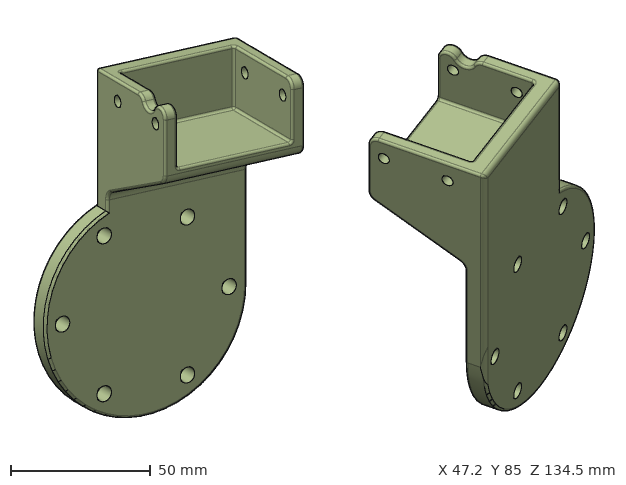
import cadquery as cq
import math

height = 134.5
reach = 47.2
disc_radius = 42.5
plate_thickness = 8.1

bracket_width = 58.8
arm_thickness = 5.4
floor_z = 110.3
slope_start_z = 88.8
slope_end_z = 105.6

corner_radius = 4.0
back_edge_radius = 2.0
small_radius = 1.0

disc_hole_diameter = 6.0
disc_hole_count = 6
disc_hole_circle_radius = 35.0
arm_hole_diameter = 4.5
arm_hole_z = 126.5
arm_hole_xs = (15.2, 40.9)

notch_radius = 4.0
notch_x = 36.3
notch_z = 134.0

cut_margin = 6.7

y_max = disc_radius
y_min = y_max - bracket_width
y_mid = (y_min + y_max) / 2


def along_y(sketch, y_start, length):
    """Extrude an XZ outline from y_start toward +Y."""
    return sketch(cq.Workplane("XZ", origin=(0, y_start, 0))).extrude(-length)


def make_disc():
    """Round mounting plate with softened rims."""
    disc = (
        cq.Workplane("YZ")
        .center(0, disc_radius)
        .circle(disc_radius)
        .extrude(plate_thickness)
    )
    return disc.edges("%CIRCLE").fillet(small_radius)


def bracket_outline(plane):
    """Side outline from the disc centre up: thin plate, then a sloped underside and the full reach."""
    return plane.polyline([
        (0, disc_radius),
        (plate_thickness, disc_radius),
        (plate_thickness, slope_start_z),
        (reach, slope_end_z),
        (reach, height),
        (0, height),
    ]).close()


def make_pocket():
    """Pocket between the arms, open at the top and at +X, with rounded inner corners."""
    pocket = cq.Workplane("XY").box(
        reach - plate_thickness + cut_margin,
        bracket_width - 2 * arm_thickness,
        height - floor_z + cut_margin,
        centered=(False, True, False),
    ).translate((plate_thickness, y_mid, floor_z))
    return pocket.edges("<X or <Z").fillet(small_radius)


def on_corner_arc(centre_x, centre_z, angle):
    """Point on a corner rounding at the given angle around its centre."""
    return (centre_x + corner_radius * math.cos(angle), centre_z + corner_radius * math.sin(angle))


def make_notch():
    """Cutter for the -Y arm: a round valley blending into the top edge and into the rounded tip."""
    centre_distance = notch_radius + corner_radius

    shoulder_z = height - corner_radius
    shoulder_angle = math.asin((notch_z - shoulder_z) / centre_distance)
    shoulder_x = notch_x - centre_distance * math.cos(shoulder_angle)

    tip_x = reach - corner_radius
    tip_angle = math.acos((notch_x - tip_x) / centre_distance)
    tip_z = notch_z - centre_distance * math.sin(tip_angle)

    cutter_top = height + cut_margin
    cutter_end = reach + cut_margin

    def outline(plane):
        return (
            plane.moveTo(shoulder_x, height)
            .threePointArc(
                on_corner_arc(shoulder_x, shoulder_z, (math.pi / 2 + shoulder_angle) / 2),
                on_corner_arc(shoulder_x, shoulder_z, shoulder_angle),
            )
            .threePointArc(
                (notch_x, notch_z - notch_radius),
                on_corner_arc(tip_x, tip_z, tip_angle),
            )
            .threePointArc(on_corner_arc(tip_x, tip_z, tip_angle / 2), (reach, tip_z))
            .lineTo(cutter_end, tip_z)
            .lineTo(cutter_end, cutter_top)
            .lineTo(shoulder_x, cutter_top)
            .close()
        )

    return along_y(outline, y_min - cut_margin, arm_thickness + 2 * cut_margin)


def make_bracket():
    """Pocketed block with sloped underside, notch and softened edges."""
    block = along_y(bracket_outline, y_min, bracket_width)
    for corner_x, corner_z in ((plate_thickness, slope_start_z), (reach, slope_end_z)):
        slope_corner = cq.selectors.NearestToPointSelector((corner_x, y_mid, corner_z))
        block = block.edges(slope_corner).fillet(corner_radius)
    block = block.cut(make_pocket())

    far_tip = cq.selectors.NearestToPointSelector((reach, y_max - arm_thickness / 2, height))
    block = block.edges("|Y").edges(far_tip).fillet(corner_radius)
    block = block.cut(make_notch())

    block = block.faces("<X").edges("not <Z").fillet(back_edge_radius)
    block = block.faces(">Y or <Y").edges("not <Z").edges("not <X").fillet(small_radius)

    floor_edge = cq.selectors.NearestToPointSelector((reach, y_mid, floor_z))
    return block.edges(floor_edge).fillet(small_radius)


def make_side_trim():
    """Full-height envelope whose rounded -X/+Y edge carries the bracket's back rounding across the disc."""
    envelope = cq.Workplane("XY").box(reach, 2 * disc_radius, height, centered=(False, True, False))
    return envelope.edges("|Z and <X and >Y").fillet(back_edge_radius)


def make_disc_holes():
    """Ring of holes through the mounting plate."""
    return (
        cq.Workplane("YZ", origin=(0, 0, disc_radius))
        .polarArray(disc_hole_circle_radius, 0, 360, disc_hole_count)
        .circle(disc_hole_diameter / 2)
        .extrude(plate_thickness)
    )


def make_arm_holes():
    """Pairs of holes running through both arms."""
    return (
        cq.Workplane("XZ", origin=(0, y_max, 0))
        .pushPoints([(x, arm_hole_z) for x in arm_hole_xs])
        .circle(arm_hole_diameter / 2)
        .extrude(bracket_width)
    )


body = make_bracket().union(make_disc()).intersect(make_side_trim())
result = body.cut(make_disc_holes()).cut(make_arm_holes())